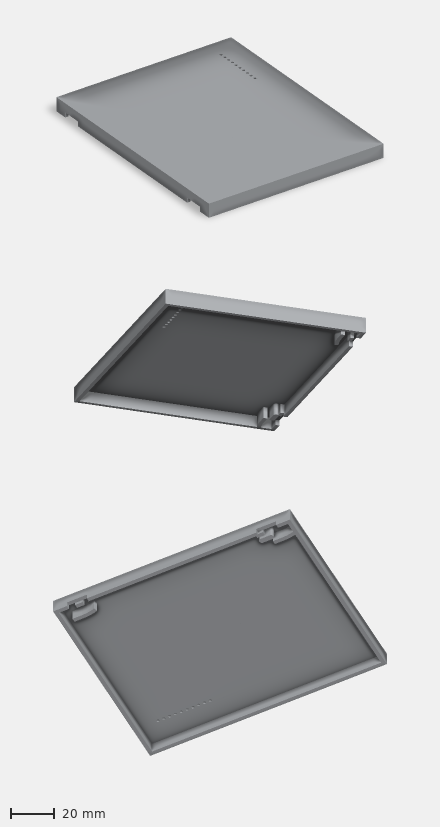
import cadquery as cq
import math

length = 122.0
width = 98.0
height = 7.5
wall = 2.0
roof = 2.0
roof_underside = height - roof
front_inside = -width / 2 + wall

opening_length = 10.2
opening_height = 2.6
opening_offset = 48.8

vent_diameter = 1.5
vent_count = 10
vent_row_length = 27.0
vent_pitch = vent_row_length / (vent_count - 1)
first_vent_x = -50.3
vent_y = 35.9

tab_foot = 1.1
tab_depth = 2.0
left_tab_x = -48.8
left_tab_length = 3.8
right_tab_x = 44.2
right_tab_length = 3.9

bar_width = 2.6
bar_length = 7.3
bar_right_end = 49.8
bar_gap = 2.3

rib_gap = 6.1
rib_thickness = 2.0
rib_bend_radius = 22.0
rib_bend_span = 6.8
rib_straight = 4.9
rib_bend_starts = (-50.3, 53.1)


def make_tray():
    outside = cq.Workplane("XY").rect(length, width).extrude(height)
    inside = cq.Workplane("XY").rect(length - 2 * wall, width - 2 * wall).extrude(roof_underside)
    return outside.cut(inside)


def make_openings():
    return (
        cq.Workplane("XY")
        .pushPoints([(side * opening_offset, -width / 2) for side in (-1, 1)])
        .rect(opening_length, 2 * wall)
        .extrude(opening_height)
    )


def make_vents():
    return (
        cq.Workplane("XY")
        .pushPoints([(first_vent_x + i * vent_pitch, vent_y) for i in range(vent_count)])
        .circle(vent_diameter / 2)
        .extrude(height)
    )


def make_tab(x, tab_length):
    """Tab centred on x, hanging from the roof behind the front wall."""
    return (
        cq.Workplane("XY", origin=(x, front_inside + tab_depth / 2, tab_foot))
        .rect(tab_length, tab_depth)
        .extrude(roof_underside - tab_foot)
    )


def make_bar():
    centre_x = bar_right_end - bar_length / 2
    centre_y = front_inside + bar_gap + bar_width / 2
    return (
        cq.Workplane("XY", origin=(centre_x, centre_y, 0))
        .slot2D(bar_length, bar_width)
        .extrude(roof_underside)
    )


def make_rib(bend_start):
    """Rib of even thickness whose bend curves towards the front wall from x = bend_start."""
    front_radius = rib_bend_radius
    back_radius = front_radius + rib_thickness
    front_y = front_inside + rib_gap
    centre_y = front_y - front_radius
    bend_angle = math.asin(rib_bend_span / front_radius)

    def bend_point(radius, angle):
        return (bend_start + radius * math.sin(angle), centre_y + radius * math.cos(angle))

    return (
        cq.Workplane("XY")
        .moveTo(bend_start - rib_straight, front_y)
        .lineTo(bend_start, front_y)
        .threePointArc(bend_point(front_radius, bend_angle / 2), bend_point(front_radius, bend_angle))
        .lineTo(*bend_point(back_radius, bend_angle))
        .threePointArc(bend_point(back_radius, bend_angle / 2), bend_point(back_radius, 0))
        .lineTo(bend_start - rib_straight, front_y + rib_thickness)
        .close()
        .extrude(roof_underside)
    )


result = make_tray().cut(make_openings()).cut(make_vents())
result = result.union(make_tab(left_tab_x, left_tab_length))
result = result.union(make_tab(right_tab_x, right_tab_length))
result = result.union(make_bar())
for start in rib_bend_starts:
    result = result.union(make_rib(start))